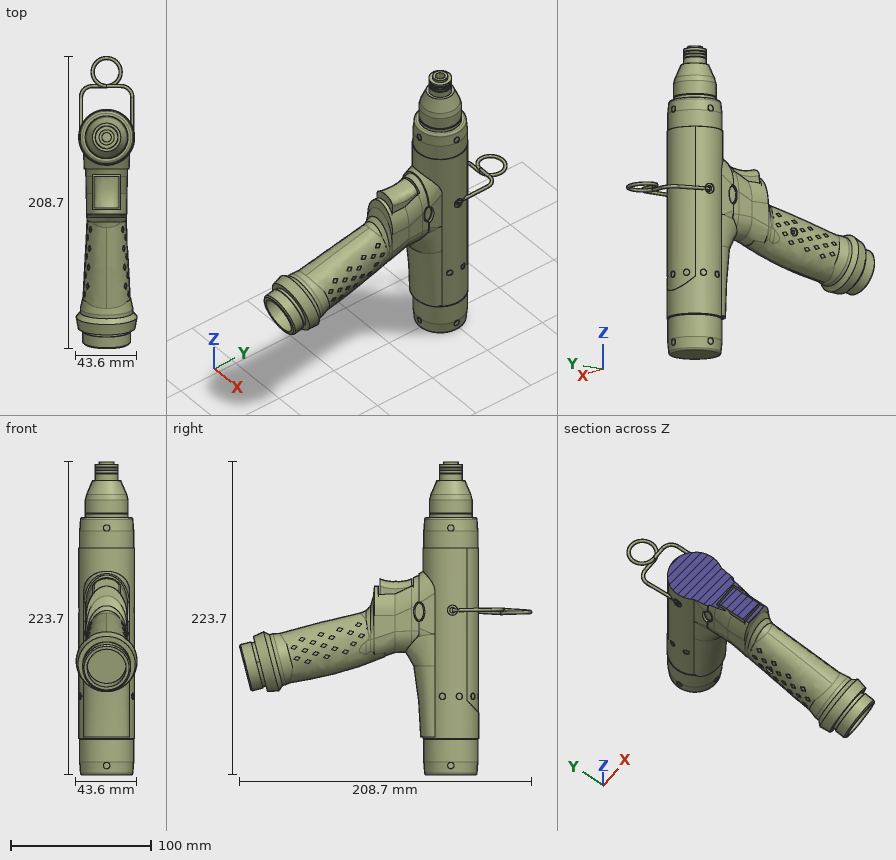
import cadquery as cq
import math


TOTAL_HEIGHT = 223.71
BARREL_RADIUS = 20.0
BARREL_BOTTOM = 26.3
BARREL_TOP = 162.4
CAP_RADIUS = 19.5
CAP_RIM_RADIUS = 18.7
CAP_RIM_ROUND = 1.5
CAP_TAPER_LENGTH = 9.5
UPPER_CAP_TOP = 184.0
NOSE_RADIUS = 15.3
NOSE_SHOULDER = 196.6
NOSE_CONE_RADIUS = 14.3
NOSE_CONE_BOTTOM = 200.6
NOSE_TIP_RADIUS = 10.1
NOSE_TOP = 210.4
NOSE_GROOVE_HEIGHT = 186.8
SPINDLE_RADIUS = 8.2
SPINDLE_TOP = 221.9
SPINDLE_GROOVE_HEIGHTS = (215.4, 217.7, 219.7)
UNDERCUT_HEIGHT = 25.9
GROOVE_WIDTH = 0.6
GROOVE_DEPTH = 0.4
SPIGOT_RADIUS = 5.4
SOCKET_RADIUS = 3.4
SOCKET_DEPTH = 6.0

PANEL_EDGE_Y = 11.4
PANEL_CORNER_HEIGHT = 53.5
PANEL_BOTTOM = 44.5
PANEL_DEPTH = 0.2

DIMPLE_RADIUS = 2.3
DIMPLE_DEPTH = 0.8
CAP_DIMPLE_HEIGHTS = (6.9, 176.5)
BARREL_DIMPLE_HEIGHT = 56.3
BARREL_DIMPLE_STEP = 36.0

SPINE_HALF_WIDTH = 16.5
SPINE_BACK = -math.sqrt(BARREL_RADIUS**2 - SPINE_HALF_WIDTH**2)
SPINE_STATIONS = ((27.3, 10.3), (50.0, 11.6), (78.0, 15.2))
SPINE_FILLET_STATIONS = ((78.0, 15.2), (86.0, 20.0), (93.0, 24.0), (101.0, 26.0))

FLANGE_FRONT = -22.6
NECK_FRONT = -54.6
FLANGE_STATIONS = ((SPINE_BACK, SPINE_HALF_WIDTH, 151.0, 85.0), (FLANGE_FRONT, 16.1, 144.0, 90.0))
NECK_STATIONS = (
    (SPINE_BACK, 15.3, 148.0, 88.0),
    (-28.0, 14.9, 140.5, 88.0),
    (-40.0, 14.6, 135.0, 87.5),
    (NECK_FRONT, 14.4, 135.0, 82.5),
)
HEEL_STATIONS = (
    (NECK_FRONT, 14.4, 135.0, 82.5),
    (-55.3, 14.3, 128.0, 82.5),
    (-57.3, 14.2, 121.0, 82.0),
    (-60.5, 14.1, 117.6, 80.5),
    (-65.5, 14.0, 115.5, 79.0),
)
GRIP_STATIONS = (
    (-47.0, 14.0, 119.0, 84.6),
    (-65.5, 14.4, 115.7, 77.5),
    (-92.5, 15.8, 109.3, 70.1),
    (-127.0, 17.2, 100.0, 64.2),
)
NECK_ARCH_HEIGHT = 21.0
NECK_BELLY_HEIGHT = 15.0

GRIP_TILT = 14.5
GRIP_END_Y = -146.9
GRIP_END_Z = 76.5
COLLAR_RADIUS = 43.61 / 2
COLLAR_FRONT_RADIUS = 20.4
COLLAR_START = -25.5
COLLAR_START_RADIUS = 18.8
COLLAR_FOOT = -22.8
COLLAR_PEAK = -19.3
COLLAR_FRONT = -11.3
FLARE_START = -33.0
FLARE_RADIUS = 17.2
SLEEVE_RADIUS = 17.1
SLEEVE_NECK_RADIUS = 16.3
SLEEVE_BACK = -8.8
SLEEVE_CHAMFER = 1.0
BORE_RADIUS = 13.9
BORE_DEPTH = 10.0

TRIGGER_HALF_WIDTH = 8.9
TRIGGER_BACK = -27.8
TRIGGER_FRONT = -50.6
TRIGGER_TOP = 140.3
TRIGGER_TOP_DIP = 138.6
TRIGGER_ARCH_HEIGHT = 5.5
TRIGGER_FOOT = 110.0
TRIGGER_BELLY_HEIGHT = 5.0
SLOT_HALF_WIDTH = 10.0
SLOT_GAP = 1.1
SLOT_FLOOR = 126.0

LATTICE_STEP = 13.9
LATTICE_ROW = 4.1
LATTICE_LENGTH = 4.6
LATTICE_HEIGHT = 3.0
LATTICE_DEPTH = 0.35
LATTICE_CENTRE_U = -72.3
LATTICE_CENTRE_V = 1.5
SCREW_RADIUS = 3.0
SCREW_HOLE_RADIUS = 1.4
SCREW_HEAD_DEPTH = 1.0
SCREW_HOLE_DEPTH = 3.0
BUTTON_HALF_WIDTH = 4.0
BUTTON_HALF_HEIGHT = 7.0
BUTTON_Z = 116.8
BUTTON_GROOVE = 0.9
BUTTON_FLOOR_X = 13.9
BUTTON_TOP_X = 14.7

WIRE_RADIUS = 1.2
PIVOT_Y = 1.2
PIVOT_Z = 117.8
HANGER_HALF_WIDTH = 18.3
HANGER_BAR_REACH = 35.41
HANGER_BEND = 8.0
RING_RADIUS = 10.0
RING_PITCH = 2.6
HANGER_TILT = -1.3
PIVOT_HOLE_RADIUS = 2.0
PIVOT_RING_RADIUS = 3.6
PIVOT_RING_DEPTH = 0.8

FAR = 40.0


def disc(radius, bottom, top):
    return cq.Workplane("XY").workplane(offset=bottom).circle(radius).extrude(top - bottom)


def barrel():
    outline = (
        cq.Workplane("XZ")
        .moveTo(0, 0)
        .lineTo(CAP_RIM_RADIUS - CAP_RIM_ROUND, 0)
        .radiusArc((CAP_RIM_RADIUS, CAP_RIM_ROUND), -CAP_RIM_ROUND)
        .lineTo(CAP_RADIUS, CAP_TAPER_LENGTH)
        .lineTo(CAP_RADIUS, BARREL_BOTTOM)
        .lineTo(BARREL_RADIUS, BARREL_BOTTOM)
        .lineTo(BARREL_RADIUS, BARREL_TOP)
        .lineTo(CAP_RADIUS, BARREL_TOP)
        .lineTo(CAP_RADIUS, UPPER_CAP_TOP - CAP_TAPER_LENGTH)
        .lineTo(CAP_RIM_RADIUS, UPPER_CAP_TOP - CAP_RIM_ROUND)
        .radiusArc((CAP_RIM_RADIUS - CAP_RIM_ROUND, UPPER_CAP_TOP), -CAP_RIM_ROUND)
        .lineTo(NOSE_RADIUS, UPPER_CAP_TOP)
        .lineTo(NOSE_RADIUS, NOSE_SHOULDER)
        .lineTo(NOSE_CONE_RADIUS, NOSE_CONE_BOTTOM)
        .lineTo(NOSE_TIP_RADIUS, NOSE_TOP)
        .lineTo(SPINDLE_RADIUS, NOSE_TOP)
        .lineTo(SPINDLE_RADIUS, SPINDLE_TOP)
        .lineTo(SPIGOT_RADIUS, SPINDLE_TOP)
        .lineTo(SPIGOT_RADIUS, TOTAL_HEIGHT)
        .lineTo(0, TOTAL_HEIGHT)
        .close()
    )
    body = outline.revolve(360, (0, 0, 0), (0, 1, 0))
    for height in SPINDLE_GROOVE_HEIGHTS:
        body = body.cut(ring_groove(SPINDLE_RADIUS, height))
    body = body.cut(ring_groove(NOSE_RADIUS, NOSE_GROOVE_HEIGHT))
    body = body.cut(ring_groove(CAP_RADIUS, UNDERCUT_HEIGHT))
    body = body.cut(back_panel())
    return body.cut(disc(SOCKET_RADIUS, TOTAL_HEIGHT - SOCKET_DEPTH, TOTAL_HEIGHT))


def ring_groove(radius, height):
    bottom = height - GROOVE_WIDTH / 2
    top = height + GROOVE_WIDTH / 2
    return disc(radius + GROOVE_DEPTH, bottom, top).cut(disc(radius - GROOVE_DEPTH, bottom, top))


def back_panel():
    """Thin sunken strip along the back of the barrel, with sloping lower corners."""
    strip = (
        cq.Workplane("YZ", origin=(-FAR, 0, 0))
        .moveTo(PANEL_EDGE_Y, BARREL_TOP)
        .lineTo(PANEL_EDGE_Y, PANEL_CORNER_HEIGHT)
        .lineTo(BARREL_RADIUS, PANEL_BOTTOM)
        .lineTo(FAR, PANEL_BOTTOM)
        .lineTo(FAR, BARREL_TOP)
        .close()
        .extrude(2 * FAR)
    )
    return strip.cut(disc(BARREL_RADIUS - PANEL_DEPTH, BARREL_BOTTOM, BARREL_TOP))


def dimple(surface_radius, height, angle):
    """Radial blind hole; the angle is taken about Z from +X."""
    return (
        cq.Workplane("YZ", origin=(surface_radius - DIMPLE_DEPTH, 0, height))
        .circle(DIMPLE_RADIUS)
        .extrude(FAR - surface_radius)
        .rotate((0, 0, 0), (0, 0, 1), angle)
    )


def dimples():
    cutters = []
    for height in CAP_DIMPLE_HEIGHTS:
        for quarter in range(4):
            cutters.append(dimple(CAP_RADIUS, height, 90 * quarter))
    for place in range(-3, 4):
        cutters.append(dimple(BARREL_RADIUS, BARREL_DIMPLE_HEIGHT, 90 + BARREL_DIMPLE_STEP * place))
    return cq.Workplane(cq.Compound.makeCompound([cutter.val() for cutter in cutters]))


def arch_wire(y, half_width, top, bottom, arch_height, belly_height):
    """Closed section across Y: half ellipse above, straight sides, half ellipse below."""
    spring = top - arch_height
    belly = bottom + belly_height
    normal = cq.Vector(0, -1, 0)
    x_axis = cq.Vector(1, 0, 0)
    arch = cq.Edge.makeEllipse(half_width, arch_height, cq.Vector(0, y, spring), normal, x_axis, 0, 180)
    under = cq.Edge.makeEllipse(half_width, belly_height, cq.Vector(0, y, belly), normal, x_axis, 180, 360)
    left = cq.Edge.makeLine(cq.Vector(-half_width, y, spring), cq.Vector(-half_width, y, belly))
    right = cq.Edge.makeLine(cq.Vector(half_width, y, belly), cq.Vector(half_width, y, spring))
    return cq.Wire.assembleEdges([arch, left, under, right])


def arch_loft(stations):
    sections = [arch_wire(*station, NECK_ARCH_HEIGHT, NECK_BELLY_HEIGHT) for station in stations]
    return cq.Workplane(cq.Solid.makeLoft(sections, True))


def grip_wire(y, half_width, top, bottom, inset):
    """Upright ellipse in two halves, made smaller all round by the inset."""
    centre = cq.Vector(0, y, (top + bottom) / 2)
    half_height = (top - bottom) / 2
    normal = cq.Vector(0, -1, 0)
    up = cq.Vector(0, 0, 1)
    halves = [
        cq.Edge.makeEllipse(
            half_height - inset, half_width - inset, centre, normal, up, start, start + 180
        )
        for start in (0, 180)
    ]
    return cq.Wire.assembleEdges(halves)


def grip_loft(inset):
    sections = [grip_wire(*station, inset) for station in GRIP_STATIONS]
    return cq.Workplane(cq.Solid.makeLoft(sections, False))


def spine_wire(height, depth):
    centre = cq.Vector(0, SPINE_BACK, height)
    front = cq.Edge.makeEllipse(
        SPINE_HALF_WIDTH, depth, centre, cq.Vector(0, 0, 1), cq.Vector(1, 0, 0), 180, 360
    )
    back = cq.Edge.makeLine(front.endPoint(), front.startPoint())
    return cq.Wire.assembleEdges([front, back])


def spine_loft(stations):
    sections = [spine_wire(height, depth) for height, depth in stations]
    return cq.Workplane(cq.Solid.makeLoft(sections, False))


def spine():
    return spine_loft(SPINE_STATIONS).union(spine_loft(SPINE_FILLET_STATIONS))


def on_grip(shape):
    """Place a shape drawn with the grip axis along -Y and the end face at the origin."""
    return shape.rotate((0, 0, 0), (1, 0, 0), GRIP_TILT).translate((0, GRIP_END_Y, GRIP_END_Z))


def grip_end():
    outline = (
        cq.Workplane("YZ")
        .moveTo(-FLARE_START, 0)
        .lineTo(-FLARE_START, FLARE_RADIUS)
        .lineTo(-COLLAR_START, COLLAR_START_RADIUS)
        .lineTo(-COLLAR_FOOT, COLLAR_START_RADIUS)
        .lineTo(-COLLAR_PEAK, COLLAR_RADIUS)
        .lineTo(-COLLAR_FRONT, COLLAR_FRONT_RADIUS)
        .lineTo(-COLLAR_FRONT, SLEEVE_NECK_RADIUS)
        .lineTo(-SLEEVE_BACK, SLEEVE_NECK_RADIUS)
        .lineTo(-SLEEVE_BACK, SLEEVE_RADIUS)
        .lineTo(SLEEVE_CHAMFER, SLEEVE_RADIUS)
        .lineTo(0, SLEEVE_RADIUS - SLEEVE_CHAMFER)
        .lineTo(0, BORE_RADIUS)
        .lineTo(BORE_DEPTH, BORE_RADIUS)
        .lineTo(BORE_DEPTH, 0)
        .close()
    )
    return on_grip(outline.revolve(360, (0, 0, 0), (1, 0, 0)))


def lattice_diamonds():
    """Staggered diamonds across both grip sides; the screw takes the place of one of them."""
    places = []
    for row in range(-2, 3):
        staggered = row % 2 == 1
        columns = range(-1, 4) if staggered else range(-1, 3)
        shift = -0.5 if staggered else 0
        for column in columns:
            if (row, column) != (0, 0):
                places.append((LATTICE_CENTRE_U + (column + shift) * LATTICE_STEP,
                               LATTICE_CENTRE_V + row * LATTICE_ROW))
    diamonds = cq.Workplane("YZ", origin=(-FAR, 0, 0))
    for along, up in places:
        diamonds = (
            diamonds.moveTo(-along - LATTICE_LENGTH / 2, up)
            .lineTo(-along, up + LATTICE_HEIGHT / 2)
            .lineTo(-along + LATTICE_LENGTH / 2, up)
            .lineTo(-along, up - LATTICE_HEIGHT / 2)
            .close()
        )
    return on_grip(diamonds.extrude(2 * FAR))


def grip():
    """Grip with shallow diamond pockets whose floors follow the grip surface."""
    pockets = lattice_diamonds().cut(grip_loft(LATTICE_DEPTH))
    return grip_loft(0).cut(pockets)


def screw_recess():
    surface = -GRIP_STATIONS[1][1]
    centre = (0, -LATTICE_CENTRE_U, LATTICE_CENTRE_V)
    face = cq.Workplane("YZ", origin=centre)
    head = face.workplane(offset=surface + SCREW_HEAD_DEPTH).circle(SCREW_RADIUS).extrude(-FAR)
    hole = face.workplane(offset=surface + SCREW_HOLE_DEPTH).circle(SCREW_HOLE_RADIUS).extrude(-FAR)
    return on_grip(head.union(hole))


def button_prism(side, floor_x, inset):
    return (
        cq.Workplane("YZ", origin=(side * floor_x, FLANGE_FRONT, BUTTON_Z))
        .ellipse(BUTTON_HALF_WIDTH - inset, BUTTON_HALF_HEIGHT - inset)
        .extrude(side * FAR)
    )


def button_recess(side):
    """Oval recess with a groove round a button that stands just below the surface."""
    button = button_prism(side, BUTTON_FLOOR_X, BUTTON_GROOVE)
    space = button_prism(side, BUTTON_TOP_X, BUTTON_GROOVE)
    return button_prism(side, BUTTON_FLOOR_X, 0).cut(button).union(space)


def trigger_slot():
    back = TRIGGER_BACK + SLOT_GAP
    front = TRIGGER_FRONT - SLOT_GAP
    return (
        cq.Workplane("XY", origin=(0, (back + front) / 2, SLOT_FLOOR))
        .rect(2 * SLOT_HALF_WIDTH, back - front)
        .extrude(FAR)
    )


def trigger():
    """Finger saddle: arched across, hollow along its length."""
    middle = (TRIGGER_BACK + TRIGGER_FRONT) / 2
    places = ((TRIGGER_BACK, TRIGGER_TOP), (middle, TRIGGER_TOP_DIP), (TRIGGER_FRONT, TRIGGER_TOP))
    sections = [
        arch_wire(y, TRIGGER_HALF_WIDTH, top, TRIGGER_FOOT, TRIGGER_ARCH_HEIGHT, TRIGGER_BELLY_HEIGHT)
        for y, top in places
    ]
    return cq.Workplane(cq.Solid.makeLoft(sections, False))


def hanger_half(side, angle):
    """One leg, its bend and half of the cross bar, swung about the pivot."""
    leg_x = side * HANGER_HALF_WIDTH
    bend_y = HANGER_BAR_REACH - HANGER_BEND
    bend_x = side * (HANGER_HALF_WIDTH - HANGER_BEND)
    inset = HANGER_BEND * (1 - math.sqrt(0.5))
    path = (
        cq.Workplane("XY")
        .moveTo(leg_x, 0)
        .lineTo(leg_x, bend_y)
        .threePointArc((leg_x - side * inset, HANGER_BAR_REACH - inset), (bend_x, HANGER_BAR_REACH))
        .lineTo(0, HANGER_BAR_REACH)
    )
    half = cq.Workplane("XZ", origin=(leg_x, 0, 0)).circle(WIRE_RADIUS).sweep(path)
    return half.rotate((0, 0, 0), (1, 0, 0), angle)


def hanger_ring():
    """One turn of a coil that joins the two halves of the bar."""
    coil = cq.Wire.makeHelix(RING_PITCH, RING_PITCH, RING_RADIUS)
    section = cq.Workplane("XZ", origin=(RING_RADIUS, 0, 0)).circle(WIRE_RADIUS)
    ring = section.sweep(cq.Workplane(coil), isFrenet=True)
    return ring.rotate((0, 0, 0), (0, 0, 1), -90).translate(
        (0, HANGER_BAR_REACH + RING_RADIUS, -RING_PITCH / 2)
    )


def hanger():
    swing = math.degrees(math.asin(RING_PITCH / 2 / HANGER_BAR_REACH))
    wire = hanger_half(-1, -swing).union(hanger_half(1, swing)).union(hanger_ring())
    return wire.rotate((0, 0, 0), (1, 0, 0), HANGER_TILT).translate((0, PIVOT_Y, PIVOT_Z))


def side_hole(side, radius, floor_x):
    return cq.Workplane("YZ", origin=(side * floor_x, PIVOT_Y, PIVOT_Z)).circle(radius).extrude(side * FAR)


def pivot_recess(side):
    ring = side_hole(side, PIVOT_RING_RADIUS, BARREL_RADIUS - PIVOT_RING_DEPTH)
    hole = side_hole(side, PIVOT_HOLE_RADIUS, HANGER_HALF_WIDTH)
    return ring.union(hole)


def neck():
    body = arch_loft(NECK_STATIONS).union(arch_loft(FLANGE_STATIONS)).union(arch_loft(HEEL_STATIONS))
    return body.cut(trigger_slot()).union(trigger())


def tool(wire):
    body = grip().union(neck().union(spine())).union(grip_end()).union(barrel())
    body = body.cut(screw_recess())
    for side in (-1, 1):
        body = body.cut(button_recess(side)).cut(pivot_recess(side))
    return body.cut(dimples()).cut(wire)


hanger_wire = hanger()
tool_body = tool(hanger_wire)
result = cq.Compound.makeCompound([tool_body.val(), hanger_wire.val()])